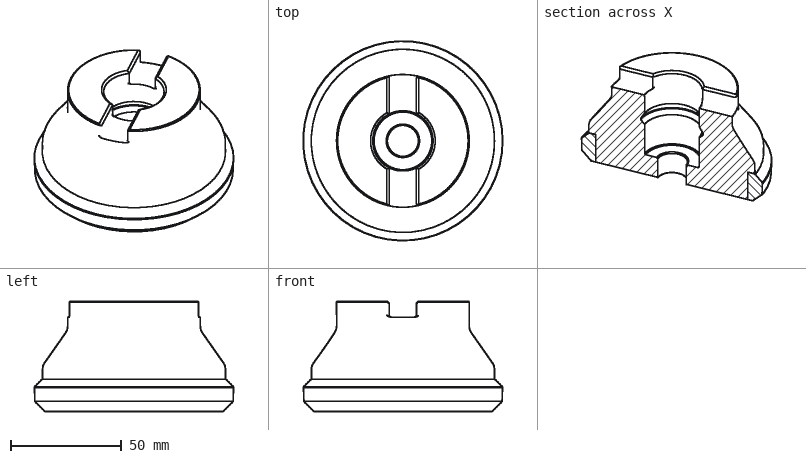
import cadquery as cq
import math

height = 50.0
neck_radius = 29.99
skirt_radius = 41.35
rim_radius = 45.1

skirt_corner_z = 20.7
cone_half_angle = 35.0
cone_height = (skirt_radius - neck_radius) / math.tan(math.radians(cone_half_angle))
neck_corner_z = skirt_corner_z + cone_height
blend_radius = 5.0
neck_top_chamfer = 0.5

spigot_radius = 37.9
shoulder_z = 14.7

top_land_radius = 41.7
top_land_z = 14.5
rim_widest_z = 10.7
rim_land_top_z = 11.3
rim_land_top_radius = top_land_radius + top_land_z - rim_land_top_z
band_radius = 44.96
band_bottom_z = 9.4
side_bottom_radius = 44.8
side_bottom_z = 4.7
side_land_radius = 44.5
side_land_z = 4.2
facet_radius = 43.6
facet_z = 3.4
foot_radius = 40.3
foot_land_width = 0.4
foot_land_height = 0.2

mouth_radius = 13.6
mouth_chamfer_width = 1.0
mouth_chamfer_height = 1.1
bore_radius = 13.48
bore_step_height = 1.0
relief_top_z = 32.9
relief_depth = 2.0
relief_half_angle = 30.0
relief_land_height = 0.5
relief_flare_height = relief_depth / math.tan(math.radians(relief_half_angle))
floor_z = 10.8
floor_chamfer = 0.45
screw_radius = 6.99
screw_chamfer = 0.5

slot_width = 12.3
slot_depth = 7.2
slot_floor_z = height - slot_depth
slot_top_chamfer = 1.1
slot_outer_rounding = 0.9
slot_bore_chamfer = 0.5
slot_floor_fillet = 0.8
slot_overrun = 4.5


def revolve_profile(points):
    """Revolve a closed (radius, z) outline around the Z axis."""
    return cq.Workplane("XZ").polyline(points).close().revolve(360, (0, 0, 0), (0, 1, 0))


def fillet_ring(body, radius, z):
    """Round the circular edge that lies at the given radius and height."""
    reach = radius + 0.1
    ring = cq.selectors.BoxSelector((-reach, -reach, z - 0.1), (reach, reach, z + 0.1), boundingbox=True)
    return body.edges(ring).fillet(blend_radius)


def make_holder_blank():
    relief_radius = bore_radius + relief_depth
    relief_corner_z = relief_top_z - relief_flare_height
    body = revolve_profile(
        [
            (screw_radius, 0),
            (spigot_radius, 0),
            (spigot_radius, shoulder_z),
            (skirt_radius, shoulder_z),
            (skirt_radius, skirt_corner_z),
            (neck_radius, neck_corner_z),
            (neck_radius, height - neck_top_chamfer),
            (neck_radius - neck_top_chamfer, height),
            (mouth_radius + mouth_chamfer_width, height),
            (mouth_radius, height - mouth_chamfer_height),
            (mouth_radius, slot_floor_z),
            (bore_radius, slot_floor_z - bore_step_height),
            (bore_radius, relief_top_z),
            (relief_radius, relief_corner_z),
            (relief_radius, relief_corner_z - relief_land_height),
            (bore_radius, relief_corner_z - relief_land_height - relief_depth),
            (bore_radius, floor_z + floor_chamfer),
            (bore_radius - floor_chamfer, floor_z),
            (screw_radius + screw_chamfer, floor_z),
            (screw_radius, floor_z - screw_chamfer),
        ]
    )
    body = fillet_ring(body, skirt_radius, skirt_corner_z)
    return fillet_ring(body, neck_radius, neck_corner_z)


def make_slot_half():
    """Cutter for the +Y half of the slot: chamfered at the bore and along the top, rounded at the neck."""
    half_width = slot_width / 2
    bore_edge_x = half_width + slot_bore_chamfer
    bore_edge_y = math.sqrt(mouth_radius**2 - bore_edge_x**2)

    arc_x = half_width + slot_outer_rounding
    arc_y = math.sqrt((neck_radius - slot_outer_rounding) ** 2 - arc_x**2)
    neck_direction = math.atan2(arc_y, arc_x)
    middle_direction = (math.pi + neck_direction) / 2
    arc_middle_x = arc_x + slot_outer_rounding * math.cos(middle_direction)
    arc_middle_y = arc_y + slot_outer_rounding * math.sin(middle_direction)
    arc_end_x = neck_radius * math.cos(neck_direction)
    arc_end_y = neck_radius * math.sin(neck_direction)
    cutter_end_y = arc_end_y + slot_overrun

    trough = (
        cq.Workplane("XY", origin=(0, 0, slot_floor_z))
        .moveTo(bore_edge_x, 0)
        .lineTo(bore_edge_x, bore_edge_y)
        .lineTo(half_width, bore_edge_y + slot_bore_chamfer)
        .lineTo(half_width, arc_y)
        .threePointArc((arc_middle_x, arc_middle_y), (arc_end_x, arc_end_y))
        .lineTo(arc_end_x, cutter_end_y)
        .lineTo(-arc_end_x, cutter_end_y)
        .lineTo(-arc_end_x, arc_end_y)
        .threePointArc((-arc_middle_x, arc_middle_y), (-half_width, arc_y))
        .lineTo(-half_width, bore_edge_y + slot_bore_chamfer)
        .lineTo(-bore_edge_x, bore_edge_y)
        .lineTo(-bore_edge_x, 0)
        .close()
        .extrude(slot_depth)
        .faces("<Z")
        .edges("not(|X)")
        .fillet(slot_floor_fillet)
    )
    bevel = (
        cq.Workplane("XZ")
        .moveTo(half_width, height - slot_top_chamfer)
        .lineTo(half_width + slot_top_chamfer, height)
        .lineTo(-half_width - slot_top_chamfer, height)
        .lineTo(-half_width, height - slot_top_chamfer)
        .close()
        .extrude(-cutter_end_y)
    )
    return trough.union(bevel)


def make_holder():
    slot_half = make_slot_half()
    body = make_holder_blank()
    for angle in (0, 180):
        body = body.cut(slot_half.rotate((0, 0, 0), (0, 0, 1), angle))
    return body


def make_rim():
    return revolve_profile(
        [
            (spigot_radius, 0),
            (foot_radius - foot_land_width, 0),
            (foot_radius, foot_land_height),
            (facet_radius, facet_z),
            (side_land_radius, side_land_z),
            (side_bottom_radius, side_bottom_z),
            (band_radius, band_bottom_z),
            (rim_radius, rim_widest_z),
            (rim_land_top_radius, rim_land_top_z),
            (top_land_radius, top_land_z),
            (skirt_radius, shoulder_z),
            (spigot_radius, shoulder_z),
        ]
    )


holder = make_holder()
rim = make_rim()
result = cq.Compound.makeCompound([holder.val(), rim.val()])